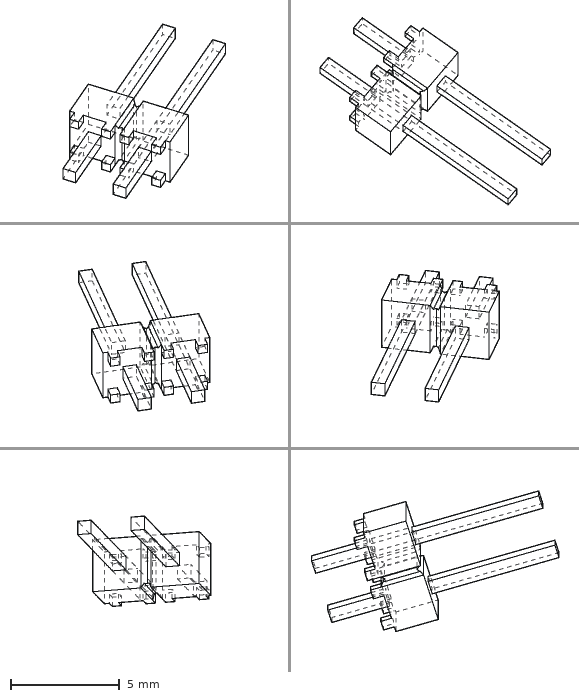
import cadquery as cq

pitch = 2.539
height = 2.49
pin_length = 10.92

pin_size = 0.64
pin_front_reach = 2.78

block_depth = 2.04
web_half_width = 0.24

notch_depth = 0.24
groove_depth = 0.25
groove_half_floor = 0.12

foot_size = 0.45
foot_length = 0.51

housing_length = 2 * pitch
left_pin_x = -pitch / 2
right_pin_x = pitch / 2
foot_offset_x = pitch / 2 - web_half_width - foot_size / 2
foot_offset_z = (height - foot_size) / 2


def box_from_front(width, depth, tall, x, front, z):
    """Box centred on x and z whose front face lies at Y = front."""
    return cq.Workplane("XY").box(width, depth, tall).translate((x, front + depth / 2, z))


def make_break_notches():
    """V notches in front and back, and trapezoidal grooves above and below."""
    front_v = (
        cq.Workplane("XY")
        .workplane(offset=-height / 2)
        .polyline([(-web_half_width, 0), (web_half_width, 0), (0, notch_depth)])
        .close()
        .extrude(height)
    )
    back_v = front_v.mirror("XZ").translate((0, block_depth, 0))
    top = height / 2
    top_groove = (
        cq.Workplane("XZ")
        .polyline([
            (-web_half_width, top),
            (-groove_half_floor, top - groove_depth),
            (groove_half_floor, top - groove_depth),
            (web_half_width, top),
        ])
        .close()
        .extrude(-block_depth)
    )
    return [front_v, back_v, top_groove, top_groove.mirror("XY")]


def make_housing():
    """Two joined blocks with four feet each."""
    housing = box_from_front(housing_length, block_depth, height, 0, 0, 0)
    for notch in make_break_notches():
        housing = housing.cut(notch)
    for pin_x in (left_pin_x, right_pin_x):
        for side in (-1, 1):
            for level in (-1, 1):
                foot = box_from_front(
                    foot_size, foot_length, foot_size,
                    pin_x + side * foot_offset_x, -foot_length, level * foot_offset_z,
                )
                housing = housing.union(foot)
    return housing


def make_pin(pin_x):
    """Square pin running through the housing along Y."""
    return box_from_front(pin_size, pin_length, pin_size, pin_x, -pin_front_reach, 0)


right_pin = make_pin(right_pin_x)
header = make_housing().union(make_pin(left_pin_x)).cut(right_pin)

result = cq.Compound.makeCompound([header.val(), right_pin.val()])